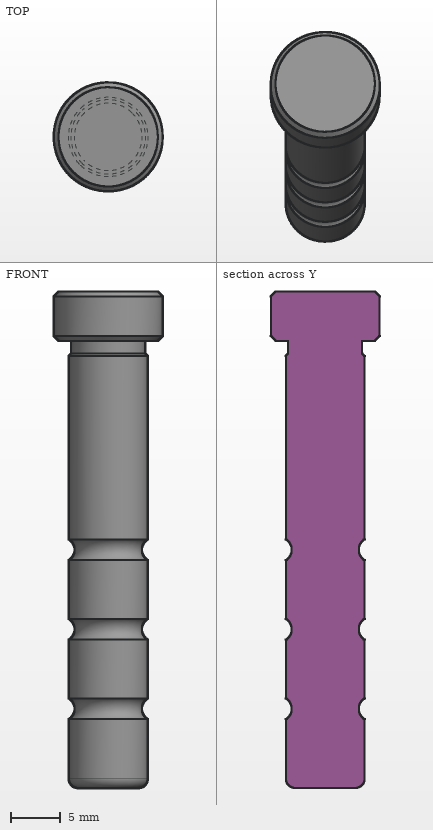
import cadquery as cq

total_length = 50.0
head_diameter = 11.0
head_height = 5.0
head_chamfer = 0.5
shank_diameter = 8.0
tip_fillet = 1.0

neck_diameter = 7.5
neck_length = 1.5
neck_cone_length = 0.25

groove_count = 3
groove_spacing = 8.0
groove_width = 2.1
groove_depth = 0.6

shank_radius = shank_diameter / 2
neck_radius = neck_diameter / 2
head_bottom = total_length - head_height
neck_bottom = head_bottom - neck_length


def make_head():
    head = cq.Workplane("XY").workplane(offset=head_bottom).circle(head_diameter / 2).extrude(head_height)
    return head.edges("%CIRCLE").chamfer(head_chamfer)


def make_shank():
    """Revolve the half profile of the grooved shank and its neck."""
    profile = (
        cq.Workplane("XZ")
        .lineTo(shank_radius - tip_fillet, 0)
        .radiusArc((shank_radius, tip_fillet), -tip_fillet)
    )
    for index in range(1, groove_count + 1):
        center = index * groove_spacing
        groove_bottom = center - groove_width / 2
        groove_top = center + groove_width / 2
        profile = profile.lineTo(shank_radius, groove_bottom).threePointArc(
            (shank_radius - groove_depth, center), (shank_radius, groove_top)
        )
    return (
        profile.lineTo(shank_radius, neck_bottom)
        .lineTo(neck_radius, neck_bottom + neck_cone_length)
        .lineTo(neck_radius, head_bottom)
        .lineTo(0, head_bottom)
        .close()
        .revolve(360, (0, 0, 0), (0, 1, 0))
    )


result = make_head().union(make_shank())